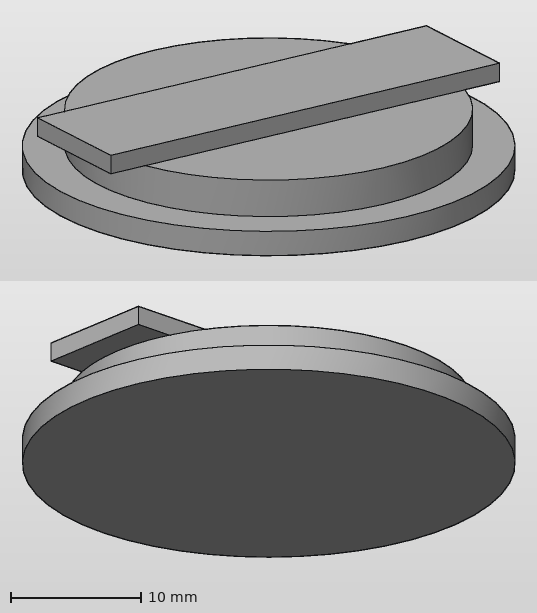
import cadquery as cq

flange_diameter = 37.8
flange_height = 2.0

disc_diameter = 31.3
disc_height = 3.0

bar_width = 9.98
bar_length = 36.05
bar_height = 1.5

disc_top = flange_height + disc_height

flange = cq.Workplane("XY").circle(flange_diameter / 2).extrude(flange_height)

disc = (
    cq.Workplane("XY")
    .workplane(offset=flange_height)
    .circle(disc_diameter / 2)
    .extrude(disc_height)
)

bar = (
    cq.Workplane("XY")
    .workplane(offset=disc_top)
    .rect(bar_width, bar_length)
    .extrude(bar_height)
)

result = flange.union(disc).union(bar)